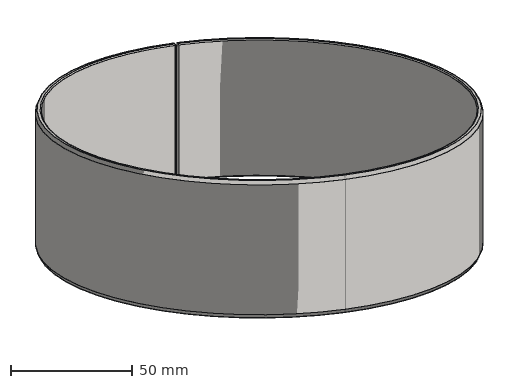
import cadquery as cq

outer_diameter = 185.0
inner_diameter = 180.0
height = 60.0

outer_bevel_height = 1.7
outer_bevel_depth = 0.7
inner_bevel = 0.5

gap_width = 1.5

outer_radius = outer_diameter / 2
inner_radius = inner_diameter / 2
half_height = height / 2


def make_band():
    """Revolve the bevelled wall section about Z."""
    outer_rim_radius = outer_radius - outer_bevel_depth
    inner_rim_radius = inner_radius + inner_bevel
    outer_shoulder_z = half_height - outer_bevel_height
    inner_shoulder_z = half_height - inner_bevel
    section = [
        (inner_radius, -inner_shoulder_z),
        (inner_rim_radius, -half_height),
        (outer_rim_radius, -half_height),
        (outer_radius, -outer_shoulder_z),
        (outer_radius, outer_shoulder_z),
        (outer_rim_radius, half_height),
        (inner_rim_radius, half_height),
        (inner_radius, inner_shoulder_z),
    ]
    return cq.Workplane("XZ").polyline(section).close().revolve(360, (0, 0), (0, 1))


def make_gap():
    """Block that cuts through the wall on the -X side only."""
    return (
        cq.Workplane("XY")
        .box(outer_radius, gap_width, height)
        .translate((-outer_radius, gap_width / 2, 0))
    )


result = make_band().cut(make_gap())